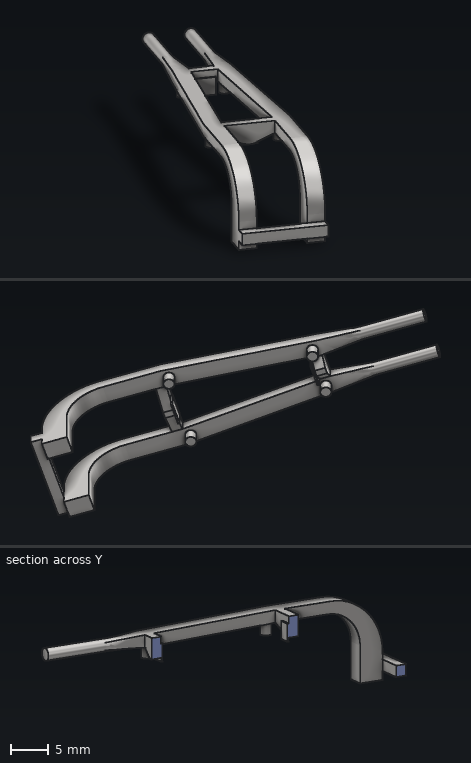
import math

import cadquery as cq


total_length = 54.9
total_width = 12.15
total_height = 12.19

rod_diameter = 1.78
rod_length = 9.0
rod_offset_y = 2.95
arms_start_x = 14.95

arm_thickness = 1.78
arm_bend_x = 36.46
start_outer_y = 4.17
start_inner_y = 1.75
rear_outer_y = total_width / 2
rear_inner_y = 3.55

bar_projection = 1.6
bar_top_depth = 9.3
bar_thickness = 1.65
leg_thickness = 3.53
leg_outer_x = total_length - bar_projection
leg_inner_x = leg_outer_x - leg_thickness
outer_bend_radius = 8.15
inner_bend_radius = 5.08

cross_thickness = 1.5
cross_seat = 0.5
web_depth = 3.05
web_bottom_half_width = 0.45

plate_thickness = 0.25
plate_width = 3.15
plate_height = 2.54
plate_depth = 3.56

pin_diameter = 1.52
pin_depth = plate_depth
front_pin = (15.95, 2.95)
rear_pin = (35.7, 4.78)


def box(x_range, y_range, z_range):
    """Axis-aligned box between the given limits."""
    size = [high - low for low, high in (x_range, y_range, z_range)]
    corner = (x_range[0], y_range[0], z_range[0])
    return cq.Workplane("XY").box(*size, centered=False).translate(corner)


def make_arm():
    """The +Y arm: an angled bar in plan that hooks down at its rear end."""
    plan = (
        cq.Workplane("XY")
        .moveTo(arms_start_x, start_inner_y)
        .lineTo(arm_bend_x, rear_inner_y)
        .lineTo(leg_outer_x, rear_inner_y)
        .lineTo(leg_outer_x, rear_outer_y)
        .lineTo(arm_bend_x, rear_outer_y)
        .lineTo(arms_start_x, start_outer_y)
        .close()
        .extrude(-total_height)
    )
    outer_middle = outer_bend_radius * (1 - math.sqrt(0.5))
    inner_middle = inner_bend_radius * (1 - math.sqrt(0.5))
    side = (
        cq.Workplane("XZ")
        .moveTo(arms_start_x, 0)
        .lineTo(leg_outer_x - outer_bend_radius, 0)
        .threePointArc((leg_outer_x - outer_middle, -outer_middle), (leg_outer_x, -outer_bend_radius))
        .lineTo(leg_outer_x, -total_height)
        .lineTo(leg_inner_x, -total_height)
        .lineTo(leg_inner_x, -arm_thickness - inner_bend_radius)
        .threePointArc(
            (leg_inner_x - inner_middle, -arm_thickness - inner_middle),
            (leg_inner_x - inner_bend_radius, -arm_thickness),
        )
        .lineTo(arms_start_x, -arm_thickness)
        .close()
        .extrude(-total_width)
    )
    return plan.intersect(side)


def make_round_section(corner_angle):
    """Circular rod section at the end of the rod, split into arcs at plus and minus the corner angle."""
    radius = rod_diameter / 2

    def on_circle(angle):
        return (radius * math.cos(angle), radius * math.sin(angle))

    return (
        cq.Workplane("YZ", origin=(rod_length, rod_offset_y, -radius))
        .moveTo(*on_circle(-corner_angle))
        .threePointArc(on_circle(0), on_circle(corner_angle))
        .threePointArc(on_circle(math.pi / 2), on_circle(math.pi - corner_angle))
        .threePointArc(on_circle(math.pi), on_circle(math.pi + corner_angle))
        .threePointArc(on_circle(-math.pi / 2), on_circle(-corner_angle))
        .close()
    )


def make_rod():
    """The +Y rod, blended from its round end into the rectangular start of the arm."""
    rod = (
        cq.Workplane("YZ")
        .center(rod_offset_y, -rod_diameter / 2)
        .circle(rod_diameter / 2)
        .extrude(rod_length)
    )
    corner_angle = math.atan2(arm_thickness, start_outer_y - start_inner_y)
    rectangle = (
        cq.Workplane("YZ", origin=(arms_start_x, 0, 0))
        .moveTo(start_outer_y, -arm_thickness)
        .lineTo(start_outer_y, 0)
        .lineTo(start_inner_y, 0)
        .lineTo(start_inner_y, -arm_thickness)
        .close()
    )
    sections = [make_round_section(corner_angle).val(), rectangle.val()]
    return rod.union(cq.Workplane(obj=cq.Solid.makeLoft(sections, True)))


def make_pin(position):
    """A locating pin that reaches down from inside an arm."""
    return (
        cq.Workplane("XY")
        .center(*position)
        .circle(pin_diameter / 2)
        .extrude(-pin_depth)
    )


def make_cross_member(start_x, half_width):
    """A cross member let into the arms, with a tapered web below it."""
    bar_half_width = half_width + cross_seat
    bar = box(
        (start_x, start_x + cross_thickness),
        (-bar_half_width, bar_half_width),
        (-arm_thickness, 0),
    )
    web = (
        cq.Workplane("YZ", origin=(start_x, 0, 0))
        .moveTo(half_width, -arm_thickness)
        .lineTo(web_bottom_half_width, -web_depth)
        .lineTo(-web_bottom_half_width, -web_depth)
        .lineTo(-half_width, -arm_thickness)
        .close()
        .extrude(cross_thickness)
    )
    return bar.union(web)


def make_stop_plate(start_x):
    """A thin rectangular plate centred across the fork."""
    return box(
        (start_x, start_x + plate_thickness),
        (-plate_width / 2, plate_width / 2),
        (-plate_depth, plate_height - plate_depth),
    )


def make_rear_bar():
    """The full-width bar on the rear faces of the legs."""
    return box(
        (leg_outer_x, total_length),
        (-total_width / 2, total_width / 2),
        (-bar_top_depth - bar_thickness, -bar_top_depth),
    )


half = make_arm().union(make_rod())
for pin_position in (front_pin, rear_pin):
    half = half.union(make_pin(pin_position))

result = half.union(half.mirror("XZ"))
result = result.union(make_cross_member(arms_start_x, start_inner_y))
result = result.union(make_cross_member(arm_bend_x, rear_inner_y))
result = result.union(make_stop_plate(arms_start_x + cross_thickness))
result = result.union(make_stop_plate(arm_bend_x - plate_thickness))
result = result.union(make_rear_bar())